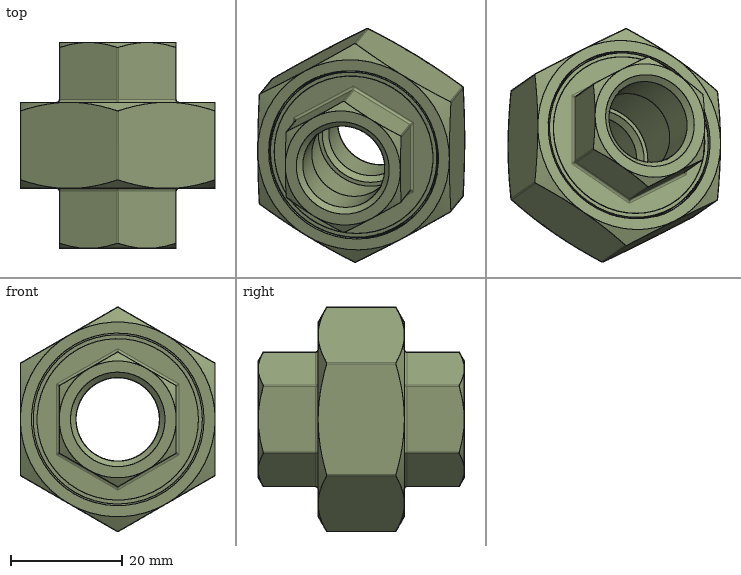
import cadquery as cq
import math


TOTAL_LENGTH = 37.0
CORNER_SPAN = 40.3
NUT_FLATS = 35.0
NUT_LENGTH = 15.5
SOCKET_FLATS = 21.0
CORNER_CHAMFER_ANGLE = 30.0
ROOT_FILLET = 0.5

BORE_DIAMETER = 14.95
BORE_DEPTH = 10.0
FLARE_DIAMETER = 16.97
CHAMBER_DIAMETER = 18.4

GAP_OUTER_DIAMETER = 31.0
GAP_INNER_DIAMETER = 30.4
GAP_DEPTH = 1.0
RIM_INNER_DIAMETER = 29.0
RIM_DEPTH = 0.12

CORNER_RATIO = 1 / math.cos(math.radians(30))
EDGE_RADIUS = (NUT_FLATS * CORNER_RATIO - CORNER_SPAN) / (2 * (CORNER_RATIO - 1))
END_Y = TOTAL_LENGTH / 2
NUT_Y = NUT_LENGTH / 2
FLARE_DEPTH = (FLARE_DIAMETER - BORE_DIAMETER) / 2
BORE_END_Y = END_Y - BORE_DEPTH
CHAMBER_Y = BORE_END_Y - FLARE_DEPTH
CORNER_MARGIN = EDGE_RADIUS


def hexagon(flats, length):
    """Hexagonal bar centred on the origin, with corners pointing to +Z and -Z."""
    return (
        cq.Workplane("XZ")
        .polygon(6, flats * CORNER_RATIO)
        .extrude(length / 2, both=True)
        .rotate((0, 0, 0), (0, 1, 0), 30)
    )


def revolve_about_axis(points):
    """Revolve a closed outline of (radius, y) points about the Y axis."""
    return cq.Workplane("XY").polyline(points).close().revolve(360, (0, 0, 0), (0, 1, 0))


def corner_envelope(flats, length):
    """Turned blank whose conical ends touch the middle of each hexagon side."""
    face_radius = flats / 2
    outer_radius = flats * CORNER_RATIO
    drop = (outer_radius - face_radius) * math.tan(math.radians(CORNER_CHAMFER_ANGLE))
    end = length / 2
    return revolve_about_axis([
        (0, -end),
        (face_radius, -end),
        (outer_radius, drop - end),
        (outer_radius, end - drop),
        (face_radius, end),
        (0, end),
    ])


def corner_edges(flats):
    """Select the long edges of a hexagonal bar of the given width across flats."""
    reach = flats * CORNER_RATIO / 2 + CORNER_MARGIN
    return cq.selectors.BoxSelector((-reach, -END_Y, -reach), (reach, END_Y, reach))


def round_corners(solid, flats):
    """Round the long edges of a hexagonal bar of the given width across flats."""
    return solid.edges("|Y").edges(corner_edges(flats)).fillet(EDGE_RADIUS)


def root_edges(side):
    """Select the edges where a socket meets the nut face at Y = side * NUT_Y."""
    reach = SOCKET_FLATS * CORNER_RATIO / 2 + CORNER_MARGIN
    y = side * NUT_Y
    return cq.selectors.BoxSelector(
        (-reach, y - CORNER_MARGIN, -reach),
        (reach, y + CORNER_MARGIN, reach),
        boundingbox=True,
    )


def ring_recess(outer_diameter, inner_diameter, depth):
    """Ring-shaped cutter entering the nut face on the -Y side."""
    return (
        cq.Workplane("XZ", origin=(0, -NUT_Y, 0))
        .circle(outer_diameter / 2)
        .circle(inner_diameter / 2)
        .extrude(-depth)
    )


socket_bar = hexagon(SOCKET_FLATS, TOTAL_LENGTH).intersect(corner_envelope(SOCKET_FLATS, TOTAL_LENGTH))
nut = round_corners(hexagon(NUT_FLATS, NUT_LENGTH), NUT_FLATS)
nut = nut.intersect(corner_envelope(NUT_FLATS, NUT_LENGTH))
body = nut.union(socket_bar)
for side in (-1, 1):
    body = body.edges(root_edges(side)).fillet(ROOT_FILLET)
body = round_corners(body, SOCKET_FLATS)

rings = ring_recess(GAP_OUTER_DIAMETER, GAP_INNER_DIAMETER, GAP_DEPTH).union(
    ring_recess(GAP_INNER_DIAMETER, RIM_INNER_DIAMETER, RIM_DEPTH)
)
body = body.cut(rings).cut(rings.mirror("XZ"))

half_bore = revolve_about_axis([
    (0, -END_Y),
    (FLARE_DIAMETER / 2, -END_Y),
    (BORE_DIAMETER / 2, FLARE_DEPTH - END_Y),
    (BORE_DIAMETER / 2, -BORE_END_Y),
    (FLARE_DIAMETER / 2, -CHAMBER_Y),
    (CHAMBER_DIAMETER / 2, -CHAMBER_Y),
    (CHAMBER_DIAMETER / 2, 0),
    (0, 0),
])
result = body.cut(half_bore).cut(half_bore.mirror("XZ"))